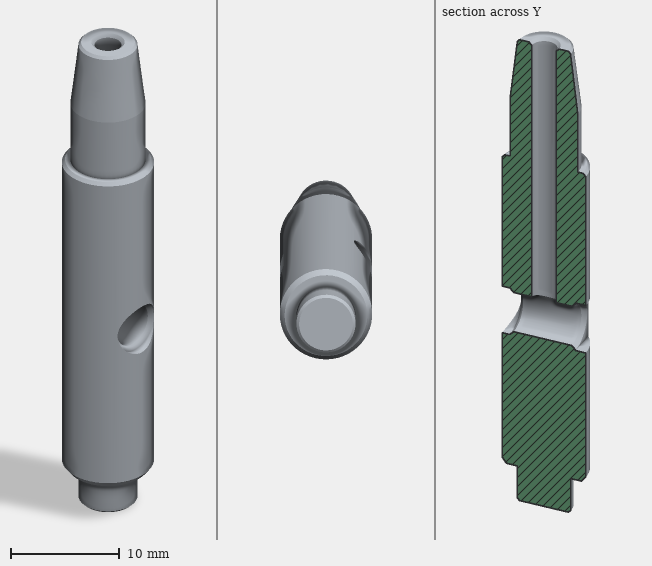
import cadquery as cq

total_length = 49.5
body_radius = 4.25
neck_radius = 3.45
end_radius = 2.7

body_bottom = 3.65
body_top = 36.8
taper_start = 42.9

end_chamfer = 0.25
body_top_chamfer = 0.3
body_bottom_chamfer_inset = 0.45
body_bottom_chamfer_height = 0.6

cross_hole_height = 20.1
cross_hole_radius = 2.1
cross_hole_chamfer = 0.4
notch_height = 5.05
notch_depth = 1.05

bore_radius = 1.25
bore_chamfer = 0.3


def turned_pin():
    """Revolve the half profile, with radius along X and height along Z."""
    profile = (
        cq.Workplane("XZ")
        .moveTo(0, 0)
        .lineTo(end_radius - end_chamfer, 0)
        .lineTo(end_radius, end_chamfer)
        .lineTo(end_radius, body_bottom)
        .lineTo(body_radius - body_bottom_chamfer_inset, body_bottom)
        .lineTo(body_radius, body_bottom + body_bottom_chamfer_height)
        .lineTo(body_radius, body_top - body_top_chamfer)
        .lineTo(body_radius - body_top_chamfer, body_top)
        .lineTo(neck_radius, body_top)
        .lineTo(neck_radius, taper_start)
        .lineTo(end_radius, total_length - end_chamfer)
        .lineTo(end_radius - end_chamfer, total_length)
        .lineTo(0, total_length)
        .close()
    )
    return profile.revolve(360, (0, 0, 0), (0, 1, 0))


def notch():
    """Block that cuts the flat into the -X side."""
    return (
        cq.Workplane("XY")
        .box(notch_depth, 2 * body_radius, notch_height)
        .translate((-body_radius + notch_depth / 2, 0, cross_hole_height))
    )


def cross_hole():
    """Through hole along X, countersunk at the notch floor and at the +X side."""
    mouth_radius = cross_hole_radius + cross_hole_chamfer
    notch_floor = -body_radius + notch_depth
    far_mouth = (body_radius**2 - mouth_radius**2) ** 0.5
    profile = (
        cq.Workplane("XY")
        .moveTo(notch_floor, 0)
        .lineTo(notch_floor, mouth_radius)
        .lineTo(notch_floor + cross_hole_chamfer, cross_hole_radius)
        .lineTo(far_mouth - cross_hole_chamfer, cross_hole_radius)
        .lineTo(far_mouth, mouth_radius)
        .lineTo(body_radius, mouth_radius)
        .lineTo(body_radius, 0)
        .close()
    )
    cutter = profile.revolve(360, (0, 0, 0), (1, 0, 0))
    return cutter.translate((0, 0, cross_hole_height))


def bore():
    """Chamfered axial bore that ends inside the cross hole."""
    profile = (
        cq.Workplane("XZ")
        .moveTo(0, cross_hole_height)
        .lineTo(bore_radius, cross_hole_height)
        .lineTo(bore_radius, total_length - bore_chamfer)
        .lineTo(bore_radius + bore_chamfer, total_length)
        .lineTo(0, total_length)
        .close()
    )
    return profile.revolve(360, (0, 0, 0), (0, 1, 0))


result = turned_pin().cut(notch()).cut(cross_hole()).cut(bore())